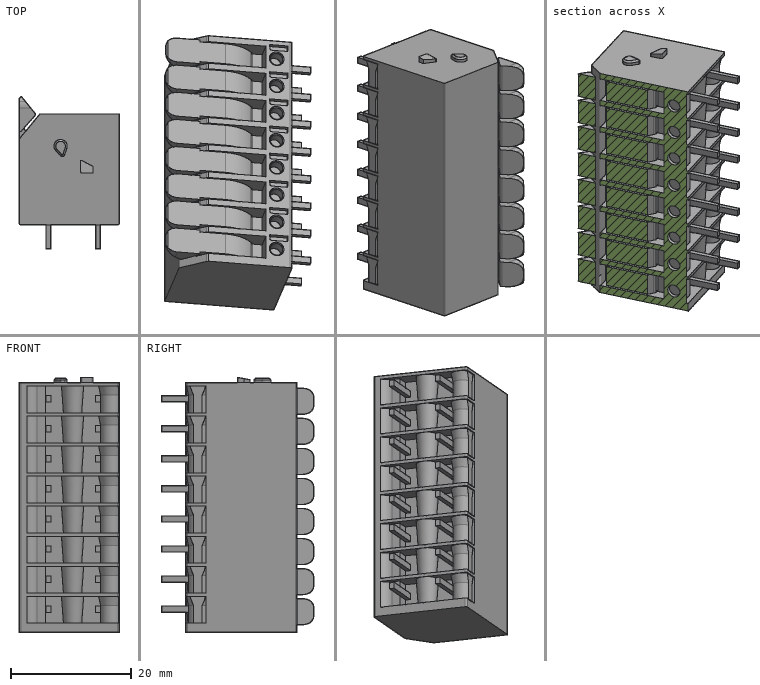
import cadquery as cq

POLES = 8
PITCH = 5.0
TOTAL_HEIGHT = 42.4
KEY_HEIGHT = 0.9
BODY_TOP = TOTAL_HEIGHT - KEY_HEIGHT

BODY_X = 16.7
BODY_Y = 18.5
LEVER_CUT_X = 3.48
LEVER_CUT_Y = 4.03
LEVER_CUT_BEVEL = (0.15, 0.35)
EDGE_RADIUS = 0.35
BACK_RADIUS = 0.15

CELL_HEIGHT = 4.45
CELL_DROP = 0.55
CELL_X = 1.3
CELL_DEPTH = 3.4
LEDGE_DEPTH = 0.95
LEDGE_ARC_X = 2.95
LEDGE_END_X = 4.35

MIDDLE_POST_X = 8.9
MIDDLE_POST_Y = 1.9
MIDDLE_POST_TOP_RADIUS = 1.85
MIDDLE_POST_BOTTOM_RADIUS = 1.53
SIDE_POST_X = 15.15
SIDE_POST_Y = 2.05
SIDE_POST_FLAT_X = 16.55
SIDE_POST_RADIUS = 1.55
SIDE_POST_FLARE_RADIUS = 1.9
SIDE_POST_FLARE_HEIGHT = 1.53

PIN_X_CENTRES = (4.88, 13.15)
PIN_WIDTH = 0.8
PIN_HEIGHT = 1.05
PIN_LENGTH = 4.0
PIN_DROP = 2.65

WINDOW_BOTTOM_Y = 4.45
WINDOW_TOP_Y = 15.9
WINDOW_HEIGHT = 4.0
WINDOW_DEPTH = 3.4
LEVER_DROP = 3.1

NECK_GAP = 0.15
NECK_HEIGHT = WINDOW_HEIGHT - 2 * NECK_GAP
NECK_BOTTOM_Y = 6.35
NECK_BEND_Y = 11.3
NECK_BEND_RADIUS = 5.95
NECK_LIP = 0.3
NECK_JOIN = (0.85, 16.1)
HEAD_HEIGHT = 4.35
HEAD_BOTTOM_Y = 15.55
HEAD_TIP_Y = 21.33
HEAD_TIP_X = 0.42
HEAD_TIP_CHAMFER = 0.3
HEAD_KNEE = (2.85, 18.35)
HEAD_KNEE_RADIUS = 0.35
HEAD_HEEL_X = 0.35
HEAD_SHOULDER_Y = 19.4
HEAD_CORNER_Y = 20.52
HEAD_SHOULDER_RADIUS = 2.55
HEAD_TIP_DROP = 1.5

ENTRY_Y = 2.65
ENTRY_DROP = 3.25
ENTRY_DIAMETER = 2.1
ENTRY_RIM_DIAMETER = 2.45
ENTRY_DEPTH = 2.1
SLOT_Y = 2.25
SLOT_LENGTH = 3.1
SLOT_HEIGHT = 1.0
SLOT_DROP = 1.25
SLOT_DEPTH = 0.75
SLOT_RADIUS = 0.4

DROP_X = 6.9
DROP_Y = 13.1
DROP_RADIUS = 1.1
DROP_TIP = (7.2, 11.75)
DROP_TIP_RADIUS = 0.4
DROP_HEIGHT = 0.75
DROP_CHAMFER = 0.3
WEDGE_OUTLINE = [(10.25, 8.6), (12.35, 8.6), (12.35, 9.7), (10.45, 10.73), (10.25, 10.73)]
WEDGE_CORNER_RADIUS = 0.2
WEDGE_LOW_HEIGHT = 0.5


def slab(profile, z_middle, height):
    """Extrude an XY profile symmetrically about a Z level."""
    return profile.extrude(height / 2, both=True).translate((0, 0, z_middle))


def make_housing():
    outline = [
        (0, 0),
        (BODY_X, 0),
        (BODY_X, BODY_Y),
        (LEVER_CUT_X, BODY_Y),
        (LEVER_CUT_BEVEL[0], BODY_Y - LEVER_CUT_Y),
        (0, BODY_Y - LEVER_CUT_Y - LEVER_CUT_BEVEL[1]),
    ]
    housing = cq.Workplane("XY").polyline(outline).close().extrude(BODY_TOP)
    housing = housing.edges("|Z and <Y").fillet(EDGE_RADIUS)
    return housing.edges("|Z and >Y").fillet(BACK_RADIUS)


def make_cell(z_bottom):
    """Cavity with a shallow ledge that curves up to the solder face."""
    return (
        cq.Workplane("XY", origin=(0, 0, z_bottom))
        .moveTo(BODY_X, 0)
        .lineTo(BODY_X, CELL_DEPTH)
        .lineTo(LEDGE_END_X, CELL_DEPTH)
        .lineTo(LEDGE_END_X, LEDGE_DEPTH)
        .lineTo(LEDGE_ARC_X, LEDGE_DEPTH)
        .tangentArcPoint((CELL_X, 0), relative=False)
        .close()
        .extrude(CELL_HEIGHT)
    )


def make_posts(z_bottom):
    """Tapered middle post and flared side post of one cell; the side post has a flat towards +X."""
    middle = (
        cq.Workplane("XZ")
        .lineTo(MIDDLE_POST_BOTTOM_RADIUS, 0)
        .lineTo(MIDDLE_POST_TOP_RADIUS, CELL_HEIGHT)
        .lineTo(0, CELL_HEIGHT)
        .close()
        .revolve(360, (0, 0), (0, 1))
        .translate((MIDDLE_POST_X, MIDDLE_POST_Y, z_bottom))
    )
    side = (
        cq.Workplane("XZ")
        .lineTo(SIDE_POST_RADIUS, 0)
        .lineTo(SIDE_POST_RADIUS, CELL_HEIGHT - SIDE_POST_FLARE_HEIGHT)
        .lineTo(SIDE_POST_FLARE_RADIUS, CELL_HEIGHT)
        .lineTo(0, CELL_HEIGHT)
        .close()
        .revolve(360, (0, 0), (0, 1))
        .translate((SIDE_POST_X, SIDE_POST_Y, z_bottom))
    )
    bounds = (
        cq.Workplane("XY")
        .box(SIDE_POST_FLAT_X, BODY_Y, CELL_HEIGHT, centered=False)
        .translate((0, 0, z_bottom))
    )
    return middle.union(side.intersect(bounds))


def make_pins(z_middle):
    pins = cq.Workplane("XY")
    length = PIN_LENGTH + CELL_DEPTH
    for x in PIN_X_CENTRES:
        pin = cq.Workplane("XY").box(PIN_WIDTH, length, PIN_HEIGHT)
        pins = pins.union(pin.translate((x, length / 2 - PIN_LENGTH, z_middle)))
    return pins


def make_window(z_middle):
    """Pocket in the lever face, reaching up into the slanted corner."""
    profile = (
        cq.Workplane("XY")
        .moveTo(0, WINDOW_BOTTOM_Y)
        .lineTo(WINDOW_DEPTH, WINDOW_BOTTOM_Y)
        .lineTo(WINDOW_DEPTH, WINDOW_TOP_Y)
        .lineTo(0, WINDOW_TOP_Y)
        .close()
    )
    return slab(profile, z_middle, WINDOW_HEIGHT)


def bend_depth(y):
    """Depth of the curved neck face behind X = 0."""
    drop = NECK_BEND_Y - y
    return NECK_BEND_RADIUS - (NECK_BEND_RADIUS**2 - drop**2) ** 0.5


def make_lever(z_middle):
    """Narrow neck that bends into the window, with a wide wedge-shaped head."""
    lip_y = NECK_BOTTOM_Y + NECK_LIP
    bend_middle_y = (NECK_BEND_Y + lip_y) / 2
    lip_x = bend_depth(lip_y)
    neck_profile = (
        cq.Workplane("XY")
        .moveTo(0, NECK_JOIN[1])
        .lineTo(0, NECK_BEND_Y)
        .threePointArc((bend_depth(bend_middle_y), bend_middle_y), (lip_x, lip_y))
        .lineTo(lip_x + NECK_LIP, NECK_BOTTOM_Y)
        .lineTo(WINDOW_DEPTH, NECK_BOTTOM_Y)
        .lineTo(WINDOW_DEPTH, NECK_BEND_Y)
        .lineTo(*NECK_JOIN)
        .close()
    )
    neck = slab(neck_profile, z_middle, NECK_HEIGHT)

    head_profile = (
        cq.Workplane("XY")
        .moveTo(0, HEAD_BOTTOM_Y)
        .lineTo(HEAD_HEEL_X, HEAD_BOTTOM_Y)
        .lineTo(*HEAD_KNEE)
        .lineTo(HEAD_TIP_X, HEAD_TIP_Y)
        .lineTo(HEAD_TIP_CHAMFER, HEAD_TIP_Y)
        .lineTo(0, HEAD_TIP_Y - HEAD_TIP_CHAMFER)
        .close()
    )
    head = slab(head_profile, z_middle, HEAD_HEIGHT)
    head = head.edges("|Z and >X").fillet(HEAD_KNEE_RADIUS)

    half = HEAD_HEIGHT / 2
    shoulder_run = HEAD_CORNER_Y - HEAD_SHOULDER_Y
    shoulder_drop = HEAD_SHOULDER_RADIUS - (HEAD_SHOULDER_RADIUS**2 - shoulder_run**2) ** 0.5
    upper_half = (
        cq.Workplane("YZ")
        .moveTo(HEAD_BOTTOM_Y, 0)
        .lineTo(HEAD_BOTTOM_Y, half)
        .lineTo(HEAD_SHOULDER_Y, half)
        .tangentArcPoint((HEAD_CORNER_Y, half - shoulder_drop), relative=False)
        .tangentArcPoint((HEAD_TIP_Y, half - HEAD_TIP_DROP), relative=False)
        .lineTo(HEAD_TIP_Y, 0)
        .close()
        .extrude(HEAD_KNEE[0])
    )
    trim = upper_half.union(upper_half.mirror("XY")).translate((0, 0, z_middle))
    return neck.union(head.intersect(trim))


def make_entry(z_middle):
    """Blind wire hole along X with a conical rim."""
    radius = ENTRY_DIAMETER / 2
    rim_radius = ENTRY_RIM_DIAMETER / 2
    return (
        cq.Workplane("XY")
        .lineTo(0, rim_radius)
        .lineTo(rim_radius - radius, radius)
        .lineTo(ENTRY_DEPTH, radius)
        .lineTo(ENTRY_DEPTH, 0)
        .close()
        .revolve(360, (0, 0), (1, 0))
        .translate((0, ENTRY_Y, z_middle))
    )


def make_slot(z_middle):
    """Shallow test slot with its two lower corners rounded."""
    return (
        cq.Workplane("XY")
        .box(SLOT_DEPTH, SLOT_LENGTH, SLOT_HEIGHT)
        .edges("|X and <Z")
        .fillet(SLOT_RADIUS)
        .translate((SLOT_DEPTH / 2, SLOT_Y, z_middle))
    )


def make_drop_key():
    """Teardrop key: the hull of a large and a small circle, chamfered on top."""
    dx = DROP_TIP[0] - DROP_X
    dy = DROP_TIP[1] - DROP_Y
    distance = (dx**2 + dy**2) ** 0.5
    along = (dx / distance, dy / distance)
    across = (-along[1], along[0])
    cosine = (DROP_RADIUS - DROP_TIP_RADIUS) / distance
    sine = (1 - cosine**2) ** 0.5

    def rim(centre, radius, along_part, across_part):
        return tuple(
            centre[i] + radius * (along_part * along[i] + across_part * across[i]) for i in range(2)
        )

    centre = (DROP_X, DROP_Y)
    return (
        cq.Workplane("XY", origin=(0, 0, BODY_TOP))
        .moveTo(*rim(centre, DROP_RADIUS, cosine, sine))
        .threePointArc(rim(centre, DROP_RADIUS, -1, 0), rim(centre, DROP_RADIUS, cosine, -sine))
        .lineTo(*rim(DROP_TIP, DROP_TIP_RADIUS, cosine, -sine))
        .threePointArc(
            rim(DROP_TIP, DROP_TIP_RADIUS, 1, 0),
            rim(DROP_TIP, DROP_TIP_RADIUS, cosine, sine),
        )
        .close()
        .extrude(DROP_HEIGHT)
        .faces(">Z")
        .chamfer(DROP_CHAMFER)
    )


def make_wedge_key():
    """Five-sided key whose top slopes down towards +Y."""
    low_y = max(y for _, y in WEDGE_OUTLINE)
    high_y = min(y for _, y in WEDGE_OUTLINE)
    prism = (
        cq.Workplane("XY", origin=(0, 0, BODY_TOP))
        .polyline(WEDGE_OUTLINE)
        .close()
        .extrude(KEY_HEIGHT)
        .edges("|Z and <Y")
        .fillet(WEDGE_CORNER_RADIUS)
    )
    slope = (
        cq.Workplane("YZ")
        .moveTo(high_y, BODY_TOP)
        .lineTo(high_y, TOTAL_HEIGHT)
        .lineTo(low_y, BODY_TOP + WEDGE_LOW_HEIGHT)
        .lineTo(low_y, BODY_TOP)
        .close()
        .extrude(BODY_X)
    )
    return prism.intersect(slope)


housing = make_housing()
pole_tops = [BODY_TOP - pole * PITCH for pole in range(POLES)]

for top in pole_tops:
    cell_bottom = top - CELL_DROP - CELL_HEIGHT
    housing = housing.cut(make_cell(cell_bottom)).union(make_posts(cell_bottom))
    housing = housing.union(make_pins(top - PIN_DROP))
    housing = housing.cut(make_window(top - LEVER_DROP)).union(make_lever(top - LEVER_DROP))
    housing = housing.cut(make_entry(top - ENTRY_DROP)).cut(make_slot(top - SLOT_DROP))

result = housing.union(make_drop_key()).union(make_wedge_key())